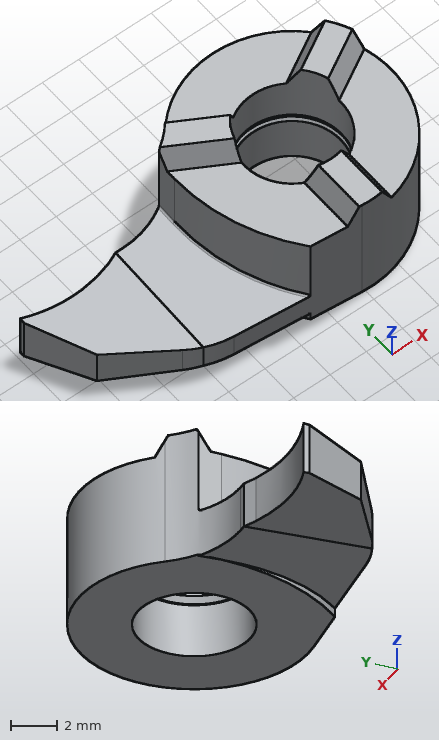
import cadquery as cq
import math

ring_radius = 5.5
ring_height = 5.3
bore_radius = 2.7
bore_overrun = 0.2
groove_bottom_z = 2.55
groove_floor_z = 2.7
groove_top_z = 3.02
groove_depth = 0.14

tooth_count = 3
tooth_height = 1.01
tooth_top_width = 1.27
tooth_base_width = 2.45
first_tooth_angle = -90
full_height = ring_height + tooth_height

overall_length = 19.5
tip_x = ring_radius - overall_length
tip_y = 1.27
tip_land_y = 0.98
blade_heel = (-12.48, -2.16)
blade_back_end = (-9.32, -4.13)
back_bend = (-8.5, -4.55)
arm_back_start = (-7.1, -4.9)
rake_middle = (-11.62, 0.85)
rake_end = (-9.13, 1.29)
split_x = -8.5
neck_x = -8.11
neck_y = 1.56

arm_middle_z = 1.05
arm_half_thickness = 0.98
slope_across = 0.066
slope_along_blade = 0.031

wall_x = -5.5
wall_straight_end_y = 1.25
wall_bottom = (-3.1, -5.3)
wall_root_radius = 0.1

wall_root_box = ((-5.85, -2.73, 1.75), (-3.9, 0.0, 2.34))

slab_reach = 7.8

back_distance = math.hypot(*arm_back_start)
back_angle = math.atan2(arm_back_start[1], arm_back_start[0])
touch_angle = back_angle + math.acos(ring_radius / back_distance)
back_touch = (ring_radius * math.cos(touch_angle), ring_radius * math.sin(touch_angle))

neck_radius = (neck_x**2 + neck_y**2 - ring_radius**2) / (2 * (ring_radius - neck_y))
neck_centre_y = neck_y + neck_radius
neck_angle = math.atan2(neck_centre_y, neck_x)
neck_touch = (ring_radius * math.cos(neck_angle), ring_radius * math.sin(neck_angle))
neck_start_angle = -math.pi / 2
neck_end_angle = neck_angle - math.pi
neck_middle_angle = (neck_start_angle + neck_end_angle) / 2
neck_middle = (
    neck_x + neck_radius * math.cos(neck_middle_angle),
    neck_centre_y + neck_radius * math.sin(neck_middle_angle),
)


def holder_outline(base_z=0):
    """Ring outline with the arm up to the joint."""
    return (
        cq.Workplane("XY", origin=(0, 0, base_z))
        .moveTo(split_x, neck_y)
        .lineTo(neck_x, neck_y)
        .threePointArc(neck_middle, neck_touch)
        .threePointArc((ring_radius, 0), back_touch)
        .lineTo(*arm_back_start)
        .tangentArcPoint(back_bend, relative=False)
        .close()
    )


def blade_outline(base_z):
    """Claw-shaped outline on the tip side of the joint."""
    return (
        cq.Workplane("XY", origin=(0, 0, base_z))
        .moveTo(split_x, neck_y)
        .lineTo(*rake_end)
        .threePointArc(rake_middle, (tip_x, tip_y))
        .lineTo(tip_x, tip_land_y)
        .lineTo(*blade_heel)
        .lineTo(*blade_back_end)
        .tangentArcPoint(back_bend, relative=False)
        .close()
    )


def tapered_slab(start_x, end_x, thickening):
    """Wedge block from start_x to end_x, thicker towards +Y and, by thickening, at end_x."""
    thin = arm_half_thickness - slope_across * slab_reach
    thick = arm_half_thickness + slope_across * slab_reach
    slab = cq.Workplane("YZ", origin=(start_x, 0, arm_middle_z))
    for distance, extra in ((0, 0), (end_x - start_x, thickening)):
        slab = slab.workplane(offset=distance).polyline([
            (-slab_reach, -thin - extra),
            (slab_reach, -thick - extra),
            (slab_reach, thick + extra),
            (-slab_reach, thin + extra),
        ]).close()
    return slab.loft(ruled=True, combine=True)


def ring_side_block(base_z, height):
    """Block covering everything on the ring side of the curved wall."""
    return (
        cq.Workplane("XY", origin=(0, 0, base_z))
        .moveTo(wall_x, slab_reach)
        .lineTo(wall_x, wall_straight_end_y)
        .tangentArcPoint(wall_bottom, relative=False)
        .lineTo(wall_bottom[0], -slab_reach)
        .lineTo(slab_reach, -slab_reach)
        .lineTo(slab_reach, slab_reach)
        .close()
        .extrude(height)
    )


def make_teeth():
    """Radial teeth of trapezoid section, long enough to pass the ring and reach its axis."""
    tooth = (
        cq.Workplane("YZ", origin=(0, 0, ring_height))
        .polyline([
            (-tooth_base_width / 2, 0),
            (tooth_base_width / 2, 0),
            (tooth_top_width / 2, tooth_height),
            (-tooth_top_width / 2, tooth_height),
        ])
        .close()
        .extrude(slab_reach)
    )
    teeth = cq.Workplane("XY")
    for index in range(tooth_count):
        angle = first_tooth_angle + index * 360 / tooth_count
        teeth = teeth.union(tooth.rotate((0, 0, 0), (0, 0, 1), angle))
    return teeth


def make_bore():
    """Through bore with its V groove, as a solid to remove."""
    return (
        cq.Workplane("XZ")
        .polyline([
            (0, -bore_overrun),
            (bore_radius, -bore_overrun),
            (bore_radius, groove_bottom_z),
            (bore_radius + groove_depth, groove_floor_z),
            (bore_radius, groove_top_z),
            (bore_radius, full_height + bore_overrun),
            (0, full_height + bore_overrun),
        ])
        .close()
        .revolve(360, (0, 0, 0), (0, 1, 0))
    )


def make_holder():
    """Toothed ring with the arm that carries the blade."""
    ring_side = ring_side_block(-slab_reach, 2 * slab_reach)
    ring_blank = holder_outline().extrude(full_height).intersect(ring_side)
    tooth_space = cq.Workplane("XY").box(
        2 * slab_reach, 2 * slab_reach, ring_height, centered=(True, True, False)
    )
    ring = ring_blank.intersect(tooth_space.union(make_teeth()))
    arm = (
        holder_outline(-slab_reach)
        .extrude(2 * slab_reach)
        .cut(ring_side)
        .intersect(tapered_slab(split_x, ring_radius, 0))
    )
    blank = ring.union(arm)
    rounded = blank.edges(cq.selectors.BoxSelector(*wall_root_box)).fillet(wall_root_radius)
    return rounded.cut(make_bore())


def make_blade():
    """Claw blade that thickens towards its tip."""
    slab = tapered_slab(split_x, tip_x, slope_along_blade * (split_x - tip_x))
    return blade_outline(-slab_reach).extrude(2 * slab_reach).intersect(slab)


holder = make_holder()
blade = make_blade()
result = cq.Compound.makeCompound([holder.val(), blade.val()])